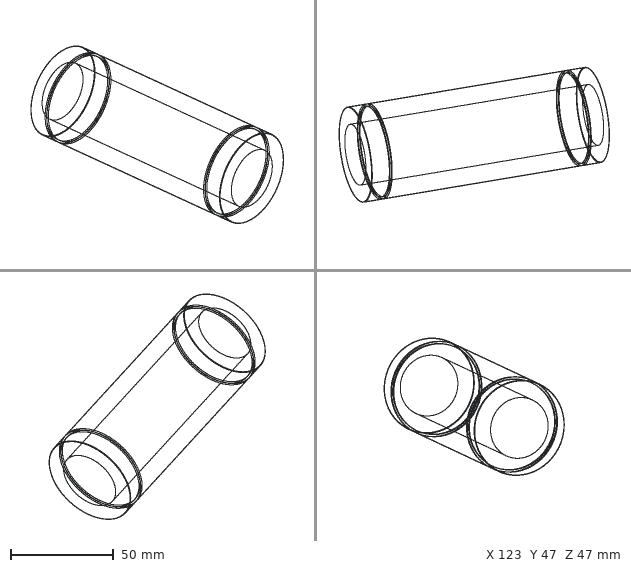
import cadquery as cq

length = 123.0
outer_diameter = 47.0
bore_diameter = 30.0
groove_width = 1.1
groove_depth = 1.1
end_land = 9.5
edge_chamfer = 0.2

outer_radius = outer_diameter / 2
half_length = length / 2


def cylinder_along_x(start, span, radius):
    return cq.Workplane("YZ", origin=(start, 0, 0)).circle(radius).extrude(span)


def ring_groove(start):
    core = cylinder_along_x(start, groove_width, outer_radius - groove_depth)
    return cylinder_along_x(start, groove_width, outer_radius + groove_depth).cut(core)


body = cylinder_along_x(-half_length, length, outer_radius)
body = body.faces("<X or >X").edges().chamfer(edge_chamfer)

body = body.cut(cylinder_along_x(-half_length, length, bore_diameter / 2))

groove_offset = half_length - end_land
for groove_start in (-groove_offset, groove_offset - groove_width):
    body = body.cut(ring_groove(groove_start))

result = body